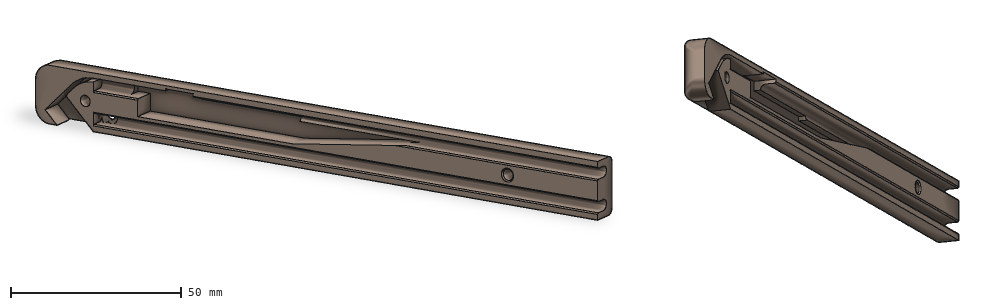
import cadquery as cq
import math

LENGTH = 195.3
THICKNESS = 8.0
HEIGHT = 18.0
END_RADIUS = 5.0
BACK_EDGE_RADIUS = 2.0

GROOVE_START = 20.1
GROOVE_DIAMETER = 3.4
GROOVE_MOUTH_WIDTH = 4.2
GROOVE_AXIS_DEPTH = 3.2
GROOVE_OFFSET = 5.12
LOWER_GROOVE_Z = HEIGHT / 2 - GROOVE_OFFSET
UPPER_GROOVE_Z = HEIGHT / 2 + GROOVE_OFFSET
MOUTH_CHAMFER = (GROOVE_MOUTH_WIDTH - GROOVE_DIAMETER) / 2

RAMP_START = 25.5
RAMP_ANGLE = 45.0
EXIT_X = 21.7

RECESS_DEPTH = 7.0
HOOK_TIP_X = 7.5
CHANNEL_WIDTH = 1.2
BLOCK_TOP_Z = 15.2
BLOCK_RADIUS = 10.0
BLOCK_SLANT_TOP_X = 16.1
BLOCK_STEP_X = 31.3
BLOCK_END_X = 35.5
BLOCK_STEP_Z = UPPER_GROOVE_Z - GROOVE_DIAMETER / 2
RAISED_TOP_START = 45.2
RAISED_TOP_END = 54.8
RAISED_TOP_Z = 17.0
TAPER_START = 89.2
TAPER_ANGLE = 8.0
TAPER_TOP_Z = 12.8
RECESS_BOTTOM_Z = 7.0

BEND_SLANTED_END = 135.0
BEND_LEVEL_END = 90.0
BEND_MIDDLE = (BEND_SLANTED_END + BEND_LEVEL_END) / 2

HOLE_DIAMETER = 3.4
HOLE_RIM_DIAMETER = 4.2
FRONT_HOLE_X = 17.3
REAR_HOLE_X = 164.0


def front_plane(depth=0.0):
    """Sketch plane at Y = depth with local axes X and Z; its normal points to -Y."""
    return cq.Workplane("XZ", origin=(0, depth, 0))


def make_body():
    """Bar with rounded end corners, a rounded end at the back and rounded long back edges."""
    side = (
        front_plane()
        .rect(LENGTH, HEIGHT, centered=False)
        .extrude(-THICKNESS)
        .edges("|Y and <X")
        .fillet(END_RADIUS)
    )
    plan = (
        cq.Workplane("XY")
        .rect(LENGTH, THICKNESS, centered=False)
        .extrude(HEIGHT)
        .edges("|Z and <X and >Y")
        .fillet(END_RADIUS)
    )
    bar = side.intersect(plan)
    return bar.edges("|X and >Y").fillet(BACK_EDGE_RADIUS)


def groove_cutter(axis_z):
    """Round-bottomed groove from GROOVE_START to the far end."""
    radius = GROOVE_DIAMETER / 2
    mouth = GROOVE_MOUTH_WIDTH / 2
    return (
        cq.Workplane("YZ", origin=(GROOVE_START, 0, axis_z))
        .moveTo(0, -mouth)
        .lineTo(MOUTH_CHAMFER, -radius)
        .lineTo(GROOVE_AXIS_DEPTH, -radius)
        .threePointArc((GROOVE_AXIS_DEPTH + radius, 0), (GROOVE_AXIS_DEPTH, radius))
        .lineTo(MOUTH_CHAMFER, radius)
        .lineTo(0, mouth)
        .close()
        .extrude(LENGTH - GROOVE_START)
    )


def recess_cutter():
    """Hook opening, channel around the block, and the long tapering pocket, as one outline."""
    tangent_length = BLOCK_RADIUS * math.tan(math.radians(BEND_MIDDLE - BEND_LEVEL_END))
    centre_x = BLOCK_SLANT_TOP_X + tangent_length
    centre_z = BLOCK_TOP_Z - BLOCK_RADIUS
    channel_radius = BLOCK_RADIUS + CHANNEL_WIDTH

    def on_bend(radius, angle):
        """Point of the bend around the block's shoulder, at an angle in degrees from +X."""
        turn = math.radians(angle)
        return centre_x + radius * math.cos(turn), centre_z + radius * math.sin(turn)

    block_slant_offset = BLOCK_TOP_Z - BLOCK_SLANT_TOP_X
    nose_x = (GROOVE_START - block_slant_offset) / 2
    hook_slant_offset = block_slant_offset + CHANNEL_WIDTH * math.sqrt(2)
    hook_corner_x = (HOOK_TIP_X - hook_slant_offset) / 2
    taper_tip_x = TAPER_START + (TAPER_TOP_Z - RECESS_BOTTOM_Z) / math.tan(math.radians(TAPER_ANGLE))

    return (
        front_plane()
        .moveTo(HOOK_TIP_X, 0)
        .lineTo(hook_corner_x, HOOK_TIP_X - hook_corner_x)
        .lineTo(*on_bend(channel_radius, BEND_SLANTED_END))
        .threePointArc(on_bend(channel_radius, BEND_MIDDLE), on_bend(channel_radius, BEND_LEVEL_END))
        .lineTo(RAISED_TOP_START, BLOCK_TOP_Z + CHANNEL_WIDTH)
        .lineTo(RAISED_TOP_START, RAISED_TOP_Z)
        .lineTo(RAISED_TOP_END, RAISED_TOP_Z)
        .lineTo(RAISED_TOP_END, UPPER_GROOVE_Z)
        .lineTo(TAPER_START, UPPER_GROOVE_Z)
        .lineTo(TAPER_START, TAPER_TOP_Z)
        .lineTo(taper_tip_x, TAPER_TOP_Z)
        .lineTo(TAPER_START, RECESS_BOTTOM_Z)
        .lineTo(BLOCK_END_X, RECESS_BOTTOM_Z)
        .lineTo(BLOCK_END_X, BLOCK_STEP_Z)
        .lineTo(BLOCK_STEP_X, BLOCK_STEP_Z)
        .lineTo(BLOCK_STEP_X, BLOCK_TOP_Z)
        .lineTo(*on_bend(BLOCK_RADIUS, BEND_LEVEL_END))
        .threePointArc(on_bend(BLOCK_RADIUS, BEND_MIDDLE), on_bend(BLOCK_RADIUS, BEND_SLANTED_END))
        .lineTo(nose_x, GROOVE_START - nose_x)
        .lineTo(GROOVE_START, 0)
        .close()
        .extrude(-RECESS_DEPTH)
    )


def exit_cutter():
    """Bore that slopes from the lower groove toward the back and leaves through it."""
    radius = GROOVE_DIAMETER / 2
    slope = math.radians(RAMP_ANGLE)
    start_depth = GROOVE_AXIS_DEPTH + radius
    axis_shift = radius / math.cos(slope)
    axis_depth = start_depth + (RAMP_START - EXIT_X) * math.tan(slope) - axis_shift
    bend = cq.Vector(EXIT_X, axis_depth, LOWER_GROOVE_Z)
    toward_groove = cq.Vector(math.cos(slope), -math.sin(slope), 0)
    bore_length = (axis_depth - GROOVE_AXIS_DEPTH) / math.sin(slope)
    sloping = cq.Solid.makeCylinder(radius, bore_length, bend, toward_groove)
    straight = (
        front_plane(GROOVE_AXIS_DEPTH)
        .center(EXIT_X, LOWER_GROOVE_Z)
        .circle(radius)
        .extrude(GROOVE_AXIS_DEPTH - THICKNESS)
    )
    return straight.union(cq.Workplane(sloping))


def hole_cutter(x):
    """Through hole on the centre line at the given X."""
    return (
        front_plane()
        .center(x, HEIGHT / 2)
        .circle(HOLE_DIAMETER / 2)
        .extrude(-THICKNESS)
    )


def rim_cutter(x):
    """Conical 45-degree countersink at the open face."""
    rim_depth = (HOLE_RIM_DIAMETER - HOLE_DIAMETER) / 2
    cone = cq.Solid.makeCone(
        HOLE_RIM_DIAMETER / 2,
        HOLE_DIAMETER / 2,
        rim_depth,
        cq.Vector(x, 0, HEIGHT / 2),
        cq.Vector(0, 1, 0),
    )
    return cq.Workplane(cone)


result = make_body()
for groove_z in (LOWER_GROOVE_Z, UPPER_GROOVE_Z):
    result = result.cut(groove_cutter(groove_z))
result = result.cut(recess_cutter()).cut(exit_cutter())
for hole_x in (FRONT_HOLE_X, REAR_HOLE_X):
    result = result.cut(hole_cutter(hole_x))
result = result.cut(rim_cutter(REAR_HOLE_X))